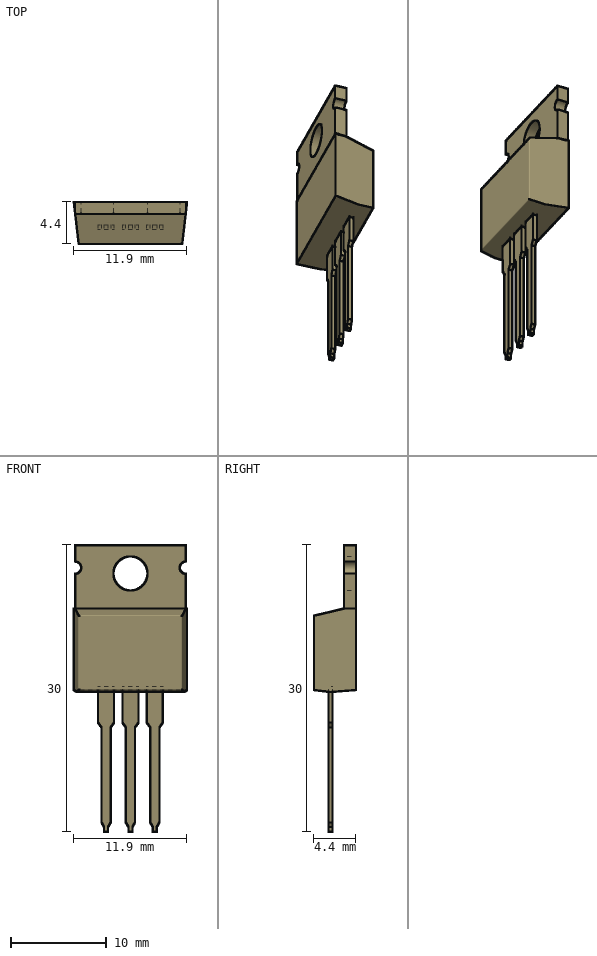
import cadquery as cq


total_height = 30.0
housing_width = 11.88
housing_depth = 4.4

housing_top = 23.35
front_face_top = 22.6
rim_bottom = 14.82
ridge_bottom = 14.6
side_taper = 0.5
front_rounding = 0.105

tab_thickness = 1.25
tab_width = 11.58
mount_hole_diameter = 3.55
mount_hole_z = 27.02
notch_radius = 0.63
notch_z = 27.62

lead_count = 3
lead_pitch = 2.55
lead_thickness = 0.45
lead_plane = 2.67
lead_insertion = 0.6
shoulder_width = 1.7
shank_width = 1.0
tip_width = 0.45
shoulder_end = 11.43
shank_start = 10.92
shank_end = 1.0
tip_start = 0.5


def make_taper_envelope():
    """Upright prism whose sides converge from the back of the housing to its front."""
    back_half = housing_width / 2
    front_half = back_half - side_taper
    outline = [
        (-back_half, 0),
        (back_half, 0),
        (front_half, -housing_depth),
        (-front_half, -housing_depth),
    ]
    envelope = cq.Workplane("XY").workplane(offset=ridge_bottom)
    return envelope.polyline(outline).close().extrude(housing_top - ridge_bottom)


def make_lead(x):
    """Flat stepped lead, mirrored about its own centre line at the given X."""
    half_outline = [
        (tip_width / 2, 0),
        (tip_width / 2, tip_start),
        (shank_width / 2, shank_end),
        (shank_width / 2, shank_start),
        (shoulder_width / 2, shoulder_end),
        (shoulder_width / 2, ridge_bottom + lead_insertion),
    ]
    outline = half_outline + [(-px, pz) for px, pz in reversed(half_outline)]
    blade = cq.Workplane("XZ").polyline(outline).close().extrude(lead_thickness)
    return blade.translate((x, lead_thickness / 2 - lead_plane, 0))


def make_housing(leads):
    """Tapered moulding with a sloped shoulder, a bent bottom and a socket for each lead."""
    side_profile = [
        (0, housing_top),
        (-tab_thickness, housing_top),
        (-housing_depth, front_face_top),
        (-housing_depth, rim_bottom),
        (-lead_plane, ridge_bottom),
        (0, rim_bottom),
    ]
    slab = cq.Workplane("YZ").polyline(side_profile).close().extrude(housing_width / 2, both=True)
    housing = slab.intersect(make_taper_envelope())
    housing = housing.faces("<Y").edges().fillet(front_rounding)
    for lead in leads:
        housing = housing.cut(lead)
    return housing


def make_tab():
    """Plate standing on the housing ledge, with a mounting hole and two side notches."""
    tab = (
        cq.Workplane("XZ")
        .center(0, (housing_top + total_height) / 2)
        .rect(tab_width, total_height - housing_top)
        .extrude(tab_thickness)
    )
    mount_hole = (
        cq.Workplane("XZ").center(0, mount_hole_z).circle(mount_hole_diameter / 2).extrude(tab_thickness)
    )
    notches = (
        cq.Workplane("XZ")
        .pushPoints([(side * tab_width / 2, notch_z) for side in (-1, 1)])
        .circle(notch_radius)
        .extrude(tab_thickness)
    )
    return tab.cut(mount_hole).cut(notches)


leads = [make_lead((i - (lead_count - 1) / 2) * lead_pitch) for i in range(lead_count)]
housing = make_housing(leads)
tab = make_tab()

result = cq.Compound.makeCompound([housing.val(), tab.val(), *[lead.val() for lead in leads]])